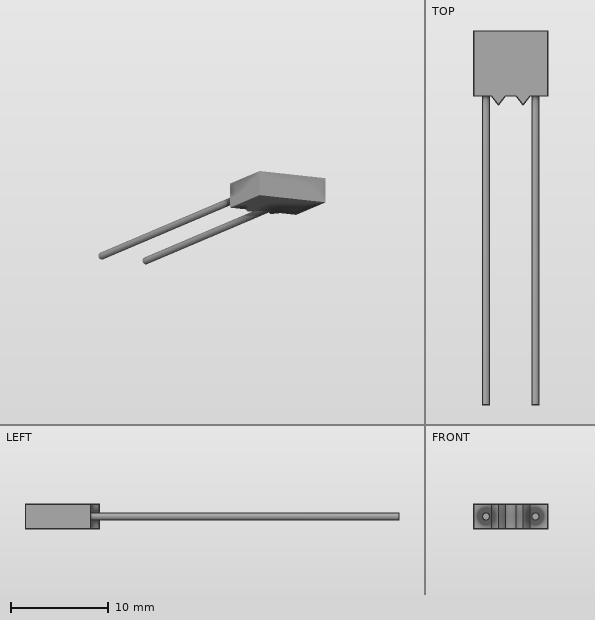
import cadquery as cq

case_width = 7.62
case_length = 6.71
case_thickness = 2.54

tooth_pitch = 2.54
tooth_height = 0.91
tooth_half_width = 0.71

overall_length = 38.46
lead_pitch = 5.08
lead_diameter = 0.74
lead_length = overall_length - case_length


def pair_positions(pitch):
    """X positions of two features placed symmetrically about the middle."""
    return (-pitch / 2, pitch / 2)


def make_tooth(x):
    """V-shaped ridge with its base on the lead face and its tip toward -Y."""
    return (
        cq.Workplane("XY")
        .moveTo(x - tooth_half_width, 0)
        .lineTo(x, -tooth_height)
        .lineTo(x + tooth_half_width, 0)
        .close()
        .extrude(case_thickness / 2, both=True)
    )


def make_case():
    """Box with the two standoff teeth on its lead face."""
    case = cq.Workplane("XY").box(case_width, case_length, case_thickness)
    case = case.translate((0, case_length / 2, 0))
    for x in pair_positions(tooth_pitch):
        case = case.union(make_tooth(x))
    return case


def make_lead(x):
    """Straight wire from the lead face toward -Y."""
    return cq.Workplane("XZ").center(x, 0).circle(lead_diameter / 2).extrude(lead_length)


case = make_case()
leads = [make_lead(x) for x in pair_positions(lead_pitch)]

result = cq.Compound.makeCompound([case.solids().val(), *[lead.val() for lead in leads]])